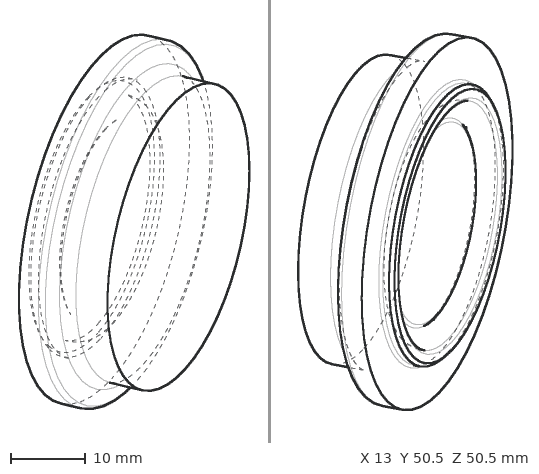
import cadquery as cq
import math

total_length = 13.0
flange_front = 1.85
flange_edge_end = 4.8
disc_face = 2.2
groove_bottom = 2.85

flange_radius = 25.25
hub_radius = 42.0 / 2
rim_radius = 38.3 / 2
groove_outer_radius = 16.9
groove_inner_radius = 14.25
groove_bottom_radius = 15.45

rim_chamfer = 0.55
rim_foot_round = 0.4
lip_round = 0.45
disc_round = 0.6
flange_round = 0.8
hub_round = 1.9
cone_angle = math.radians(70)
disc_round_angle = math.radians(55)


def on_circle(center, radius, angle):
    """Point on a circle, with the angle measured from the +X direction."""
    return (
        center[0] + radius * math.cos(angle),
        center[1] + radius * math.sin(angle),
    )


up = math.pi / 2
down = -up
cone_normal = up - cone_angle
flange_center = (flange_edge_end, flange_radius - flange_round)
cone_start = on_circle(flange_center, flange_round, cone_normal)
hub_center_radius = hub_radius + hub_round
cone_end_radius = hub_center_radius - hub_round * math.sin(cone_normal)
cone_length_x = (cone_start[1] - cone_end_radius) / math.tan(cone_angle)
cone_end = (cone_start[0] + cone_length_x, cone_end_radius)
hub_center = (cone_end[0] + hub_round * math.cos(cone_normal), hub_center_radius)

disc_edge_radius = groove_inner_radius - disc_round * math.sin(disc_round_angle)
disc_center = (disc_face + disc_round, disc_edge_radius)
groove_inner_edge = on_circle(disc_center, disc_round, math.pi - disc_round_angle)
groove_outer_edge = (lip_round, groove_outer_radius)
lip_center = (lip_round, groove_outer_radius + lip_round)
foot_center = (flange_front - rim_foot_round, rim_radius + rim_foot_round)
front_inward = math.radians(225)
back_inward = math.radians(-45)

profile = (
    cq.Workplane("XY")
    .moveTo(disc_face, 0)
    .lineTo(disc_face, disc_center[1])
    .threePointArc(
        on_circle(disc_center, disc_round, math.pi - disc_round_angle / 2),
        groove_inner_edge,
    )
    .spline(
        [(groove_bottom, groove_bottom_radius), groove_outer_edge],
        tangents=[(math.sin(disc_round_angle), math.cos(disc_round_angle)), (-1, 0)],
        includeCurrent=True,
    )
    .threePointArc(
        on_circle(lip_center, lip_round, front_inward),
        (0, lip_center[1]),
    )
    .lineTo(0, rim_radius - rim_chamfer)
    .lineTo(rim_chamfer, rim_radius)
    .lineTo(foot_center[0], rim_radius)
    .threePointArc(
        on_circle(foot_center, rim_foot_round, back_inward),
        (flange_front, foot_center[1]),
    )
    .lineTo(flange_front, flange_radius)
    .lineTo(flange_edge_end, flange_radius)
    .threePointArc(
        on_circle(flange_center, flange_round, (up + cone_normal) / 2),
        cone_start,
    )
    .lineTo(*cone_end)
    .threePointArc(
        on_circle(hub_center, hub_round, (cone_normal + math.pi + 3 * up) / 2),
        on_circle(hub_center, hub_round, down),
    )
    .lineTo(total_length, hub_radius)
    .lineTo(total_length, 0)
    .close()
)

result = profile.revolve(360, (0, 0, 0), (1, 0, 0))